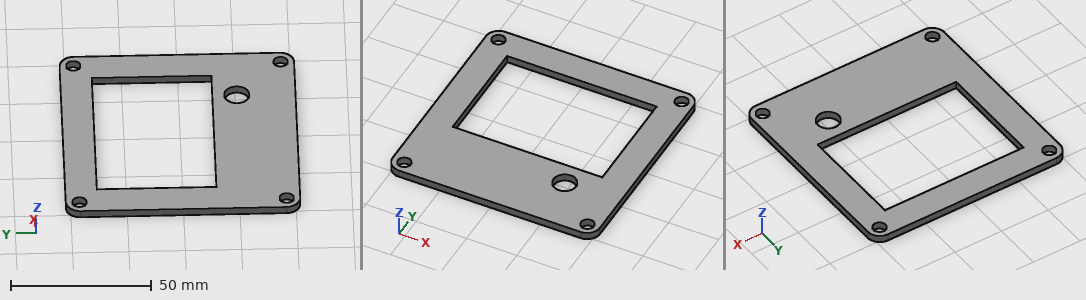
import cadquery as cq

width = 82.6
length = 83.2
thickness = 3.0
corner_radius = 5.1

mount_diameter = 5.1
mount_spacing_x = 72.9
mount_spacing_y = 73.6

window_width = 59.5
window_length = 42.45
window_y = 9.15

opening_diameter = 8.9
opening_x = 19.2
opening_y = -20.7

plate = cq.Workplane("XY").box(width, length, thickness).edges("|Z").fillet(corner_radius)

underside = cq.Workplane("XY", origin=(0, 0, -thickness / 2))

mount_holes = (
    underside
    .rect(mount_spacing_x, mount_spacing_y, forConstruction=True)
    .vertices()
    .circle(mount_diameter / 2)
    .extrude(thickness)
)

window = underside.center(0, window_y).rect(window_width, window_length).extrude(thickness)

opening = underside.center(opening_x, opening_y).circle(opening_diameter / 2).extrude(thickness)

result = plate.cut(mount_holes).cut(window).cut(opening)